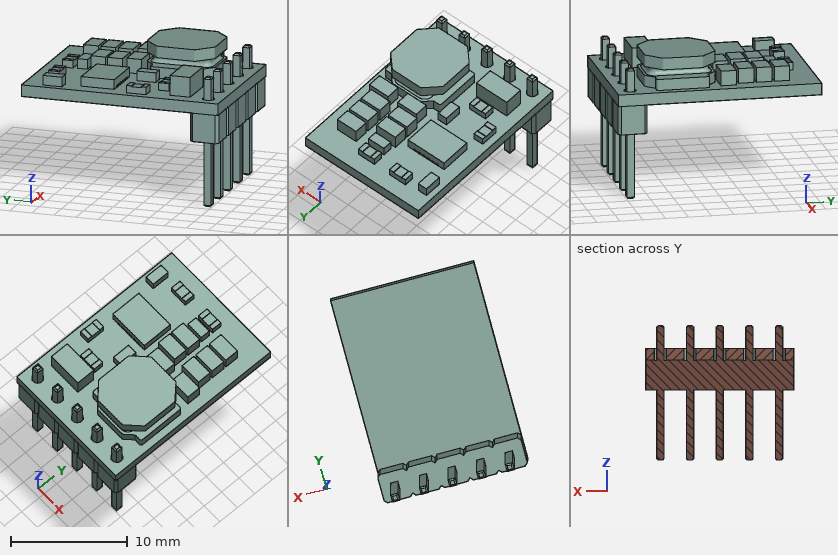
import cadquery as cq


BOARD_WIDTH = 12.7
PIN_COUNT = 5
PITCH = BOARD_WIDTH / PIN_COUNT
PIN_WIDTH = 0.64
PIN_CHAMFER = 0.15
PIN_TOP = 1.95
PIN_BOTTOM = -9.57
BLOCK_HEIGHT = 2.55
BLOCK_CHAMFER = 0.25

BOARD_LENGTH = 17.78
BOARD_THICKNESS = 1.03
PIN_HOLE_DIAMETER = 1.01
PIN_ROW_Y = PITCH / 2
PIN_XS = [(index + 0.5) * PITCH for index in range(PIN_COUNT)]

RESISTOR_LENGTH = 1.78
RESISTOR_WIDTH = 0.96
RESISTOR_BODY_HEIGHT = 0.59
RESISTOR_TERMINAL = 0.45
RESISTOR_TERMINAL_HEIGHT = 0.07
RESISTORS_ALONG_X = [(3.63, 15.79), (7.15, 15.75), (3.24, 5.69)]
RESISTORS_ALONG_Y = [(1.15, 7.61)]

SMALL_CAPACITOR = {"length": 1.7, "width": 0.92, "height": 0.85, "terminal": 0.28}
MEDIUM_CAPACITOR = {"length": 2.1, "width": 1.33, "height": 1.3, "terminal": 0.5}
LARGE_CAPACITOR = {"length": 3.4, "width": 1.81, "height": 1.76, "terminal": 0.5}
SMALL_CAPACITORS_ALONG_X = [(7.18, 14.44)]
SMALL_CAPACITORS_ALONG_Y = [(1.05, 15.17), (4.9, 8.0)]
MEDIUM_CAPACITORS = [
    (10.17, 14.62),
    (10.17, 13.05),
    (10.17, 11.49),
    (7.18, 12.95),
    (7.18, 11.41),
    (7.5, 9.8),
    (10.63, 9.85),
]
LARGE_CAPACITOR_CENTER = (2.88, 3.82)

CHIP_CENTER = (3.35, 11.33)
CHIP_WIDTH = 4.04
CHIP_LENGTH = 2.99
CHIP_HEIGHT = 0.85
LEAD_COUNT = 6
LEAD_PITCH = 0.5
LEAD_WIDTH = 0.3
LEAD_HEIGHT = 0.16
LEAD_OVERHANG = 0.02

INDUCTOR_CENTER = (8.87, 5.83)
FLANGE_WIDTH = 5.9
FLANGE_LENGTH = 6.15
FLANGE_CHAMFER = 1.35
FLANGE_CORNER_RADIUS = 0.23
LOWER_FLANGE_TOP = 0.98
UPPER_FLANGE_BOTTOM = 1.76
INDUCTOR_TOP = 2.8
MOUNT_WIDTH = 6.25
MOUNT_LENGTH = 4.62
MOUNT_CORNER_RADIUS = 0.2
NECK_WIDTH = 3.91
NECK_LENGTH = 5.69
NECK_CORNER_RADIUS = 0.8
NECK_GROOVE_DEPTH = 0.25


def block(x_size, y_size, z_bottom, z_top):
    """A box centred on the Z axis between two heights."""
    base = cq.Workplane("XY").workplane(offset=z_bottom)
    return base.rect(x_size, y_size).extrude(z_top - z_bottom)


def at_both_ends(part, distance):
    """Two copies of a part, at equal distances from the Z axis along X."""
    return [part.translate((side * distance, 0, 0)) for side in (-1, 1)]


def make_resistor():
    resistor = block(RESISTOR_LENGTH, RESISTOR_WIDTH, 0, RESISTOR_BODY_HEIGHT)
    terminal_top = RESISTOR_BODY_HEIGHT + RESISTOR_TERMINAL_HEIGHT
    terminal = block(RESISTOR_TERMINAL, RESISTOR_WIDTH, RESISTOR_BODY_HEIGHT, terminal_top)
    for end in at_both_ends(terminal, (RESISTOR_LENGTH - RESISTOR_TERMINAL) / 2):
        resistor = resistor.union(end)
    return resistor


def make_capacitor(length, width, height, terminal):
    """A body along X between two terminals of the same section, which stay marked by seams."""
    capacitor = block(length - 2 * terminal, width, 0, height)
    for end in at_both_ends(block(terminal, width, 0, height), (length - terminal) / 2):
        capacitor = capacitor.union(end, clean=False)
    return capacitor


def placed(part, centers, turn=0):
    """Copies of a part at the given centres, each turned about its own upright axis."""
    turned = part.rotate((0, 0, 0), (0, 0, 1), turn)
    return [turned.translate((x, y, 0)) for x, y in centers]


def make_chip():
    chip = block(CHIP_WIDTH, CHIP_LENGTH, 0, CHIP_HEIGHT)
    lead = block(LEAD_WIDTH, CHIP_LENGTH + 2 * LEAD_OVERHANG, 0, LEAD_HEIGHT)
    for index in range(LEAD_COUNT):
        x = (index - (LEAD_COUNT - 1) / 2) * LEAD_PITCH
        chip = chip.union(lead.translate((x, 0, 0)))
    return chip


def make_flange(z_bottom, z_top):
    flange = block(FLANGE_WIDTH, FLANGE_LENGTH, z_bottom, z_top).edges("|Z").chamfer(FLANGE_CHAMFER)
    return flange.edges("|Z").fillet(FLANGE_CORNER_RADIUS)


def make_neck():
    """The inductor's core: a rounded block with a hollow round groove all the way round."""
    neck = block(NECK_WIDTH, NECK_LENGTH, LOWER_FLANGE_TOP, UPPER_FLANGE_BOTTOM)
    neck = neck.edges("|Z").fillet(NECK_CORNER_RADIUS)
    path = neck.faces("<Z").wires()
    outer_y = -NECK_LENGTH / 2
    middle_z = (LOWER_FLANGE_TOP + UPPER_FLANGE_BOTTOM) / 2
    groove = (
        cq.Workplane("YZ")
        .moveTo(outer_y, LOWER_FLANGE_TOP)
        .threePointArc((outer_y + NECK_GROOVE_DEPTH, middle_z), (outer_y, UPPER_FLANGE_BOTTOM))
        .close()
        .sweep(path)
    )
    return neck.cut(groove)


def make_inductor():
    mount = block(MOUNT_WIDTH, MOUNT_LENGTH, 0, LOWER_FLANGE_TOP).edges("|Z").fillet(MOUNT_CORNER_RADIUS)
    lower_flange = make_flange(0, LOWER_FLANGE_TOP)
    upper_flange = make_flange(UPPER_FLANGE_BOTTOM, INDUCTOR_TOP)
    return lower_flange.union(mount).union(make_neck()).union(upper_flange)


def make_bare_board():
    board = cq.Workplane("XY").box(BOARD_WIDTH, BOARD_LENGTH, BOARD_THICKNESS, centered=False)
    board = board.translate((0, 0, -BOARD_THICKNESS))
    pin_centers = [(x, PIN_ROW_Y) for x in PIN_XS]
    return board.faces(">Z").workplane(origin=(0, 0, 0)).pushPoints(pin_centers).hole(PIN_HOLE_DIAMETER)


def make_board():
    resistor = make_resistor()
    small_capacitor = make_capacitor(**SMALL_CAPACITOR)
    mounted = [
        *placed(resistor, RESISTORS_ALONG_X),
        *placed(resistor, RESISTORS_ALONG_Y, turn=90),
        *placed(small_capacitor, SMALL_CAPACITORS_ALONG_X),
        *placed(small_capacitor, SMALL_CAPACITORS_ALONG_Y, turn=90),
        *placed(make_capacitor(**MEDIUM_CAPACITOR), MEDIUM_CAPACITORS),
        *placed(make_capacitor(**LARGE_CAPACITOR), [LARGE_CAPACITOR_CENTER]),
        *placed(make_chip(), [CHIP_CENTER]),
        *placed(make_inductor(), [INDUCTOR_CENTER]),
    ]
    board = make_bare_board()
    for part in mounted:
        board = board.union(part, clean=False)
    return board


def make_header():
    """A row of chamfered blocks joined side to side, with a square pin through each."""
    block_top = -BOARD_THICKNESS
    holder = block(PITCH, PITCH, block_top - BLOCK_HEIGHT, block_top).edges("|Z").chamfer(BLOCK_CHAMFER)
    pin = block(PIN_WIDTH, PIN_WIDTH, PIN_BOTTOM, PIN_TOP).faces("<Z or >Z").chamfer(PIN_CHAMFER)
    header = cq.Workplane("XY")
    for x in PIN_XS:
        header = header.union(holder.union(pin).translate((x, PIN_ROW_Y, 0)))
    return header


board = make_board()
header = make_header()

result = cq.Compound.makeCompound([board.val(), header.val()])